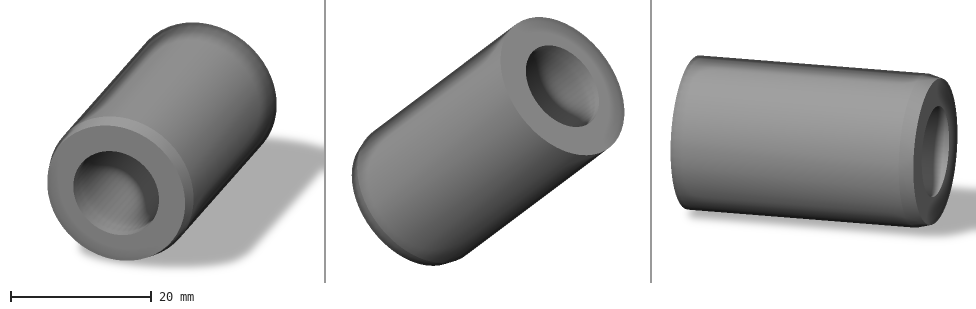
import cadquery as cq
import math

length = 36.0
outer_diameter = 22.0
bore_diameter = 13.0
lead_in_length = 2.0
lead_in_angle = 15.0

outer_radius = outer_diameter / 2
bore_radius = bore_diameter / 2
lead_in_depth = lead_in_length * math.tan(math.radians(lead_in_angle))
front_y = -length / 2
back_y = length / 2

wall_section = (
    cq.Workplane("XY")
    .moveTo(bore_radius, front_y)
    .lineTo(outer_radius - lead_in_depth, front_y)
    .lineTo(outer_radius, front_y + lead_in_length)
    .lineTo(outer_radius, back_y)
    .lineTo(bore_radius, back_y)
    .close()
)
result = wall_section.revolve(360, (0, 0, 0), (0, 1, 0))